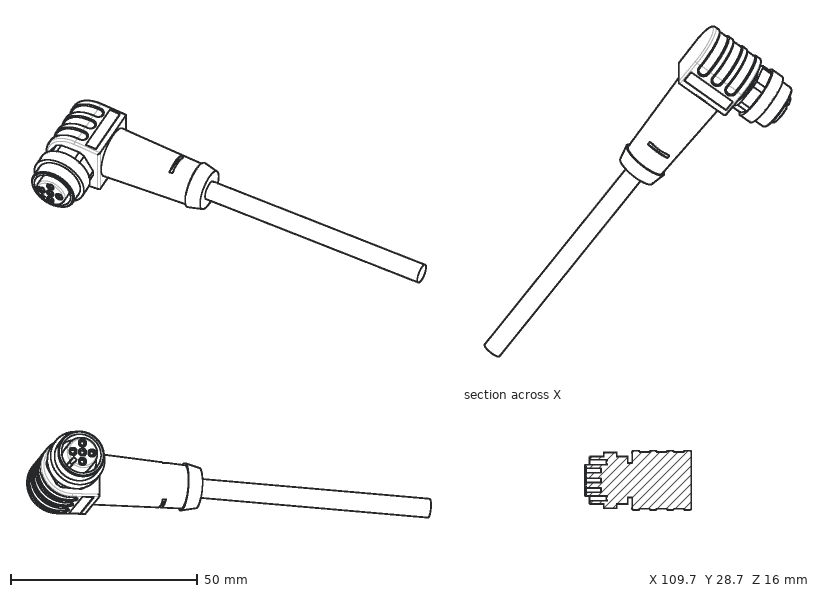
import cadquery as cq
import math


overall_length = 109.7
overall_width = 28.7

head_radius = 8.0
head_half_length = 8.0
head_back = 8.2
side_taper = 4.0
head_edge_radius = 0.5

groove_pitch = 4.6
groove_count = 3
groove_width = 3.2
groove_floor_width = 2.5
groove_depth = 0.3
groove_reach = 0.8
tool_overshoot = 0.2

pad_start = 3.6
pad_end = 6.7
pad_length = 14.0
pad_height = 7.8

boot_start_diameter = 13.8
boot_end_diameter = 11.7
collar_start = 33.3
collar_end = 37.4
collar_start_diameter = 12.8
collar_end_diameter = 11.0
slot_middle = 27.4
slot_width = 0.9
slot_floor = 5.2
cable_diameter = 5.2
cable_end = overall_length - head_radius

neck_diameter = 9.3
nut_start = -9.1
ring_start = -12.1
ring_end = -15.6
sleeve_end = -19.4
insert_end = head_half_length - overall_width
nut_diameter = 13.9
nut_across_flats = 12.8
ring_diameter = 15.0
sleeve_diameter = 12.8
sleeve_rim_diameter = 12.3
bore_diameter = 11.0
bore_floor = -14.3
insert_diameter = 8.4
insert_edge_radius = 0.4

contact_diameter = 1.1
contact_circle_radius = 2.6
outer_contact_count = 4
contact_depth = 4.4
contact_mouth_diameter = 2.1
contact_mouth_depth = 0.4
keyway_width = 1.1
keyway_floor_radius = 2.9
keyway_direction = 225
keyway_depth = 4.4
ring_squeeze = 0.05


def cylinder_y(diameter, start, end):
    """Cylinder on the Y axis from Y = start down to Y = end."""
    plane = cq.Workplane("XZ", origin=(0, start, 0))
    return plane.circle(diameter / 2).extrude(start - end)


def mirrored_pair(shape):
    """The shape together with its mirror image below the XY plane."""
    return shape.union(shape.mirror("XY"))


def make_head():
    taper = math.radians(side_taper)
    tangent_x = head_radius * math.sin(taper)
    tangent_z = head_radius * math.cos(taper)
    back_z = (head_radius - head_back * math.sin(taper)) / math.cos(taper)
    outline = (
        cq.Workplane("XZ", origin=(0, head_half_length, 0))
        .moveTo(head_back, back_z)
        .lineTo(tangent_x, tangent_z)
        .threePointArc((-head_radius, 0), (tangent_x, -tangent_z))
        .lineTo(head_back, -back_z)
        .close()
    )
    head = outline.extrude(2 * head_half_length)
    return head.faces("<Y or >Y").edges().fillet(head_edge_radius)


def make_groove():
    """Cutter for one groove centred on Y = 0."""
    floor = head_radius - groove_depth
    top = head_radius + tool_overshoot
    wall_slope = (groove_width - groove_floor_width) / 2 / groove_depth
    floor_half = groove_floor_width / 2
    top_half = groove_width / 2 + tool_overshoot * wall_slope
    section = [(-floor_half, floor), (floor_half, floor), (top_half, top), (-top_half, top)]
    half_section = [(0, floor), (floor_half, floor), (top_half, top), (0, top)]

    wrap_angle = 180 + 2 * side_taper
    wrap = cq.Workplane("YZ").polyline(section).close().revolve(wrap_angle, (0, 0), (-1, 0))
    run = cq.Workplane("YZ").polyline(section).close().extrude(groove_reach)
    round_end = (
        cq.Workplane("YZ", origin=(groove_reach, 0, 0))
        .polyline(half_section)
        .close()
        .revolve(360, (0, 0), (0, 1))
    )
    side = run.union(round_end).rotate((0, 0, 0), (0, 1, 0), side_taper)
    return wrap.rotate((0, 0, 0), (0, 1, 0), side_taper).union(side).union(side.mirror("XY"))


def cut_grooves(head):
    groove = make_groove()
    for index in range(groove_count):
        y = (index - (groove_count - 1) / 2) * groove_pitch
        head = head.cut(groove.translate((0, y, 0)))
    return head


def make_pads():
    width = pad_end - pad_start
    middle = (pad_start + pad_end) / 2
    return cq.Workplane("XY").box(width, pad_length, 2 * pad_height).translate((middle, 0, 0))


def make_boot_and_cable():
    profile = [
        (0, 0),
        (0, cable_diameter / 2),
        (head_back, cable_diameter / 2),
        (head_back, boot_start_diameter / 2),
        (collar_start, boot_end_diameter / 2),
        (collar_start, collar_start_diameter / 2),
        (collar_end, collar_end_diameter / 2),
        (collar_end, cable_diameter / 2),
        (cable_end, cable_diameter / 2),
        (cable_end, 0),
    ]
    boot = cq.Workplane("XY").polyline(profile).close().revolve(360, (0, 0), (1, 0))
    slot = (
        cq.Workplane("XY", origin=(slot_middle, 0, slot_floor))
        .rect(slot_width, boot_start_diameter)
        .extrude(boot_start_diameter / 2)
    )
    return boot.cut(mirrored_pair(slot))


def make_coupling():
    """Neck, nut with flats, ring and sleeve, with the sleeve bored out around the insert."""
    neck = cylinder_y(neck_diameter, 0, nut_start)
    corner_diameter = nut_across_flats / math.cos(math.pi / 6)
    hexagon = (
        cq.Workplane("XZ", origin=(0, nut_start, 0))
        .polygon(6, corner_diameter)
        .extrude(nut_start - ring_start)
    )
    nut = cylinder_y(nut_diameter, nut_start, ring_start).intersect(hexagon)
    ring = cylinder_y(ring_diameter, ring_start, ring_end)
    sleeve = cylinder_y(sleeve_diameter, ring_start, sleeve_end)
    sleeve = sleeve.faces("<Y").chamfer((sleeve_diameter - sleeve_rim_diameter) / 2)
    bore = cylinder_y(bore_diameter, bore_floor, sleeve_end)
    return neck.union(nut).union(ring).union(sleeve).cut(bore)


def make_insert():
    insert = cylinder_y(insert_diameter, ring_start, insert_end)
    insert = insert.faces("<Y").edges().fillet(insert_edge_radius)

    hole = cylinder_y(contact_diameter, insert_end + contact_depth, insert_end)
    mouth = cylinder_y(contact_mouth_diameter, insert_end + contact_mouth_depth, insert_end)
    contact = hole.union(mouth)
    insert = insert.cut(contact)
    outer_contact = contact.translate((contact_circle_radius, 0, 0))
    for index in range(outer_contact_count):
        angle = index * 360 / outer_contact_count
        insert = insert.cut(outer_contact.rotate((0, 0, 0), (0, 1, 0), angle))

    keyway = (
        cq.Workplane("XZ", origin=(insert_diameter / 2, insert_end + keyway_depth, 0))
        .rect(insert_diameter - 2 * keyway_floor_radius, keyway_width)
        .extrude(keyway_depth)
    )
    return insert.cut(keyway.rotate((0, 0, 0), (0, 1, 0), -keyway_direction))


def make_sealing_ring():
    """Round-section ring filling the gap between insert and sleeve, half sunk into the bore floor."""
    section_radius = (bore_diameter - insert_diameter) / 4 + ring_squeeze
    ring_radius = (bore_diameter + insert_diameter) / 4
    section = cq.Workplane("XY").center(ring_radius, bore_floor).circle(section_radius)
    return section.revolve(360, (-ring_radius, 0), (-ring_radius, 1))


head = cut_grooves(make_head()).union(make_pads())
plug = make_coupling().union(make_insert()).union(make_sealing_ring())
result = head.union(make_boot_and_cable()).union(plug)